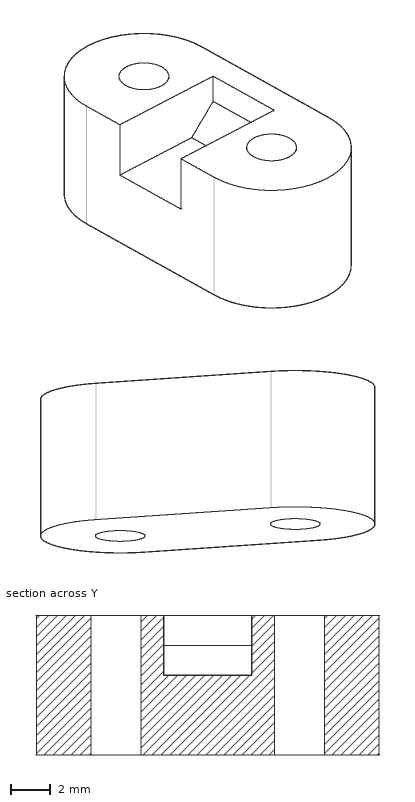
import cadquery as cq

length = 17.2
width = 8.0
height = 7.0

hole_diameter = 2.5
hole_spacing = length - width

pocket_width = 4.4
pocket_depth = 3.0
back_wall = 1.5
ramp_size = 1.5


def make_body():
    return cq.Workplane("XY").slot2D(length, width).extrude(height)


def make_holes():
    return (
        cq.Workplane("XY")
        .pushPoints([(-hole_spacing / 2, 0), (hole_spacing / 2, 0)])
        .circle(hole_diameter / 2)
        .extrude(height)
    )


def make_pocket():
    front_y = -width / 2
    back_y = width / 2 - back_wall
    floor_z = height - pocket_depth
    profile = [
        (front_y, floor_z),
        (back_y - ramp_size, floor_z),
        (back_y, floor_z + ramp_size),
        (back_y, height),
        (front_y, height),
    ]
    return cq.Workplane("YZ").polyline(profile).close().extrude(pocket_width / 2, both=True)


result = make_body().cut(make_holes()).cut(make_pocket())